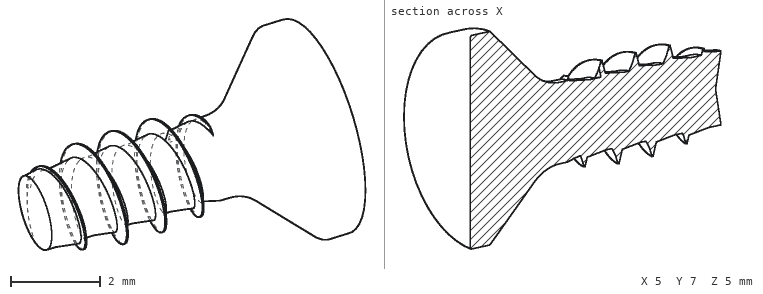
import cadquery as cq
import math

length = 7.0

head_radius = 2.5
head_rim_end = 0.55
head_edge_radius = 0.05

neck_angle = math.radians(45)
neck_blend_radius = 1.0
shank_radius = 0.957

thread_start = 2.72
pitch = 0.95
root_radius = 0.867
crest_radius = 1.25
crest_half_width = 0.02
knee_radius = 1.02
knee_offset = 0.10
upper_root_offset = 0.19
lower_base_radius = 0.937
lower_base_offset = 0.11
cone_end_offset = 0.61
fuse_tolerance = 0.0001
root_sink = 0.06
fin_inner_radius = 0.80
runin_cone_end = 3.08

full_crest_start = 3.67
full_turns = 2
full_start_angle = 90
taper_turns = 1.25
runin_slope = 0.21
runout_slope = 0.26

tip_taper_start = 6.45
tip_taper_radius = 0.86
dish_radius = 0.79
dish_angle = math.radians(10)


def revolve_section(section):
    """Revolve a closed radius/depth section about the screw axis."""
    return section.close().revolve(360, (0, 0), (0, 1))


def make_core():
    blend_drop = neck_blend_radius * (1 - math.cos(neck_angle))
    blend_start_radius = shank_radius + blend_drop
    blend_start = head_rim_end + (head_radius - blend_start_radius) / math.tan(neck_angle)
    blend_end = blend_start + neck_blend_radius * math.sin(neck_angle)
    half_angle = neck_angle / 2
    blend_mid = (
        shank_radius + neck_blend_radius * (1 - math.cos(half_angle)),
        blend_end - neck_blend_radius * math.sin(half_angle),
    )
    dish_top = length - dish_radius * math.tan(dish_angle)
    edge_inset = head_edge_radius * (1 - math.sqrt(0.5))

    lower_edge_run = head_edge_radius * math.tan(half_angle)
    lower_edge_mid = (
        head_radius - head_edge_radius * (1 - math.cos(half_angle)),
        head_rim_end - lower_edge_run + head_edge_radius * math.sin(half_angle),
    )
    lower_edge_end = (
        head_radius - lower_edge_run * math.sin(neck_angle),
        head_rim_end + lower_edge_run * math.cos(neck_angle),
    )

    return revolve_section(
        cq.Workplane("XZ")
        .moveTo(0, 0)
        .lineTo(head_radius - head_edge_radius, 0)
        .threePointArc((head_radius - edge_inset, edge_inset), (head_radius, head_edge_radius))
        .lineTo(head_radius, head_rim_end - lower_edge_run)
        .threePointArc(lower_edge_mid, lower_edge_end)
        .lineTo(blend_start_radius, blend_start)
        .threePointArc(blend_mid, (shank_radius, blend_end))
        .lineTo(shank_radius, thread_start)
        .lineTo(root_radius, runin_cone_end)
        .lineTo(root_radius, length)
        .lineTo(dish_radius, length)
        .lineTo(0, dish_top)
    )


def sweep_helix(section, start_depth, turns, slope=0.0):
    """Sweep a section along a right-hand helix that starts on +X; slope is its widening per unit of depth."""
    center = cq.Vector(0, 0, start_depth)
    if slope == 0:
        path = cq.Wire.makeHelix(pitch, turns * pitch, root_radius, center)
    else:
        taper = math.atan(slope)
        slant_pitch = pitch / math.cos(taper)
        path = cq.Wire.makeHelix(
            slant_pitch, turns * slant_pitch, root_radius, center, angle=math.degrees(taper)
        )
    return section.sweep(cq.Workplane(path), isFrenet=True)


def turn_about_axis(body, angle):
    return body.rotate((0, 0, 0), (0, 0, 1), angle)


def fin_section(crest_depth, radial_sink=0.0):
    """Hooked section of the fin, sunk toward the axis where the fin is not at full height."""
    points = [
        (fin_inner_radius, -upper_root_offset),
        (root_radius, -upper_root_offset),
        (knee_radius, -knee_offset),
        (crest_radius, -crest_half_width),
        (crest_radius, crest_half_width),
        (lower_base_radius, lower_base_offset),
        (fin_inner_radius, lower_base_offset),
    ]
    placed = [(radius - radial_sink, crest_depth + offset) for radius, offset in points]
    return cq.Workplane("XZ").polyline(placed).close()


def make_root():
    """Conical root below the fin, repeated every pitch from the square start to the tip."""
    turns_before = 2
    first_crest = full_crest_start - turns_before * pitch
    turns = math.ceil((length - first_crest) / pitch) + 1
    cone_slope = (lower_base_radius - root_radius) / (cone_end_offset - lower_base_offset)
    top_radius = lower_base_radius + cone_slope * lower_base_offset
    sunk_radius = root_radius - root_sink
    section = (
        cq.Workplane("XZ")
        .moveTo(sunk_radius, first_crest)
        .lineTo(top_radius, first_crest)
        .lineTo(root_radius, first_crest + cone_end_offset)
        .lineTo(sunk_radius, first_crest + cone_end_offset)
        .close()
    )
    root = sweep_helix(section, first_crest, turns)
    root_limits = revolve_section(
        cq.Workplane("XZ")
        .moveTo(0, thread_start)
        .lineTo(shank_radius, thread_start)
        .lineTo(shank_radius, tip_taper_start)
        .lineTo(tip_taper_radius, length)
        .lineTo(0, length)
    )
    return turn_about_axis(root, full_start_angle).intersect(root_limits)


def make_full_fin():
    fin = sweep_helix(fin_section(full_crest_start), full_crest_start, full_turns)
    return turn_about_axis(fin, full_start_angle)


def make_runin_fin():
    """Fin rising out of the shank, cut square at the start of the thread."""
    taper_length = taper_turns * pitch
    start = full_crest_start - taper_length
    section = fin_section(start, taper_length * runin_slope)
    fin = sweep_helix(section, start, taper_turns, math.atan(runin_slope))
    fin = turn_about_axis(fin, full_start_angle - taper_turns * 360)
    thread_zone = (
        cq.Workplane("XY").workplane(offset=thread_start).circle(head_radius).extrude(length - thread_start)
    )
    return fin.intersect(thread_zone)


def make_runout_fin():
    """Fin sinking into the root near the tip."""
    start = full_crest_start + full_turns * pitch
    fin = sweep_helix(fin_section(start), start, taper_turns, -runout_slope)
    return turn_about_axis(fin, full_start_angle + full_turns * 360)


screw = make_core()
for thread_part in (make_root(), make_full_fin(), make_runin_fin(), make_runout_fin()):
    screw = screw.union(thread_part, tol=fuse_tolerance)

result = screw.rotate((0, 0, 0), (1, 0, 0), 90)